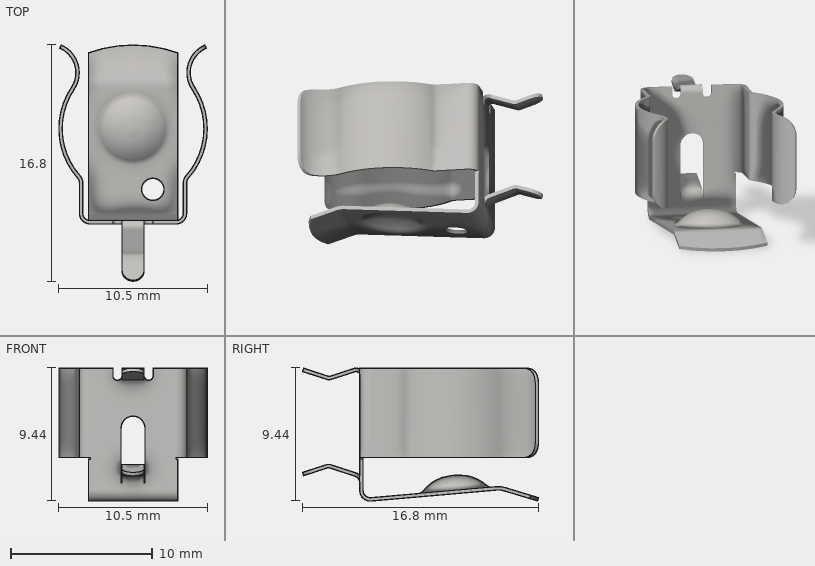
import cadquery as cq
import math


thickness = 0.254
bend_inside = 0.508
bend_outside = bend_inside + thickness
bend_middle = bend_inside + thickness / 2

front_y = 12.7
tail_y = -4.06
bottom_z = -9.44

arm_height = 6.35
arm_wall_x = 3.81
grip_radius = 5.27
grip_y = 6.76
lip_radius = 1.885
arm_corner_radius = 1.27

base_width = 6.35
relief_height = 0.1
slot_radius = 0.838
slot_top_z = -3.42
slot_bottom_z = -8.15
notch_width = 0.635
notch_depth = 0.86

tab_width = 1.575
tab_slope = 18
kink_inside = 0.254
upper_tab_kink_y = -2.165
lower_tab_kink_y = -2.21
upper_tab_bend_inside = 0.254
upper_tab_bend_z = -upper_tab_bend_inside - thickness

base_slope = 5
toe_slope = 16.8
crest_radius = 1.45
crest_start_y = 9.71
toe_round_radius = 8.89

dome_y = 6.77
dome_rim_radius = 2.62
dome_flare_radius = 0.508
dome_flat_radius = 0.15
dome_height = 1.065
hole_diameter = 1.575
hole_x = 1.4
hole_y = 2.45


def sind(angle):
    return math.sin(math.radians(angle))


def cosd(angle):
    return math.cos(math.radians(angle))


def tand(angle):
    return math.tan(math.radians(angle))


class SheetPath:
    """Mid-line of a bent sheet, traced in a plane by straights and bends."""

    def __init__(self, u, v, heading):
        self.u, self.v, self.heading = u, v, heading
        self.left, self.right, self.steps = [], [], []
        self.mark_sides()

    def side_point(self, side):
        offset = side * thickness / 2
        return (self.u - offset * sind(self.heading), self.v + offset * cosd(self.heading))

    def move(self, radius, angle):
        """Follow an arc without recording it; a positive angle turns left."""
        side = math.copysign(radius, angle)
        center_u = self.u - side * sind(self.heading)
        center_v = self.v + side * cosd(self.heading)
        self.heading += angle
        self.u = center_u + side * sind(self.heading)
        self.v = center_v - side * cosd(self.heading)

    def mark_sides(self):
        """Record the points on both faces of the sheet at the current place."""
        self.left.append(self.side_point(1))
        self.right.append(self.side_point(-1))

    def straight(self, length):
        self.u += length * cosd(self.heading)
        self.v += length * sind(self.heading)
        self.mark_sides()
        self.steps.append("line")

    def bend(self, radius, angle):
        self.move(radius, angle / 2)
        self.mark_sides()
        self.move(radius, angle / 2)
        self.mark_sides()
        self.steps.append("arc")

    def trace(self, sketch, points, steps):
        points = iter(points)
        for step in steps:
            if step == "line":
                sketch = sketch.lineTo(*next(points))
            else:
                sketch = sketch.threePointArc(next(points), next(points))
        return sketch

    def outline(self, plane):
        sketch = cq.Workplane(plane).moveTo(*self.left[0])
        sketch = self.trace(sketch, self.left[1:], self.steps)
        sketch = sketch.lineTo(*self.right[-1])
        sketch = self.trace(sketch, self.right[-2::-1], self.steps[::-1])
        return sketch.close()

    def end_plane(self):
        """Plane lying in the sheet at its end (YZ paths): X across, Y along the sheet."""
        normal = (0, -sind(self.heading), cosd(self.heading))
        return cq.Plane(origin=(0, self.u, self.v), xDir=(1, 0, 0), normal=normal)


def strip(path, width, end_radius):
    """Sheet of the given width along a YZ path, its far end rounded in the sheet plane."""
    body = path.outline("YZ").extrude(width / 2, both=True)
    half = width / 2
    side_drop = end_radius - math.sqrt(max(end_radius**2 - half**2, 0))
    corners = (
        cq.Workplane(path.end_plane())
        .moveTo(-half, -side_drop)
        .threePointArc((0, 0), (half, -side_drop))
        .lineTo(half, thickness)
        .lineTo(-half, thickness)
        .close()
        .extrude(thickness, both=True)
    )
    return body.cut(corners)


def round_tip(arm, path):
    """Round the upper and lower corners of the arm tip, looking square on the tip."""
    along = cq.Vector(cosd(path.heading), sind(path.heading), 0)
    tip = cq.Plane(origin=(path.u, path.v, 0), xDir=along.toTuple(), normal=(along.y, -along.x, 0))
    radius = arm_corner_radius
    diagonal = radius * (1 - sind(45))
    for edge_y, inward in ((0, -1), (-arm_height, 1)):
        corner = (
            cq.Workplane(tip)
            .moveTo(-radius, edge_y)
            .threePointArc((-diagonal, edge_y + inward * diagonal), (0, edge_y + inward * radius))
            .lineTo(0, edge_y)
            .close()
            .extrude(radius, both=True)
        )
        arm = arm.cut(corner)
    return arm


def make_arm():
    """Half of the upper wall and the arm on the -X side."""
    foot_x = arm_wall_x + bend_inside
    foot_y = grip_y - math.sqrt((grip_radius + bend_inside) ** 2 - foot_x**2)
    foot_angle = math.degrees(math.acos(foot_x / (grip_radius + bend_inside)))
    lip_x = arm_wall_x + lip_radius + thickness
    lip_y = grip_y + math.sqrt((grip_radius + lip_radius) ** 2 - lip_x**2)
    lip_angle = math.degrees(math.acos(lip_x / (grip_radius + lip_radius)))
    tip_angle = math.degrees(math.asin((front_y - lip_y) / (lip_radius + thickness)))

    path = SheetPath(0, thickness / 2, 180)
    path.straight(arm_wall_x - bend_outside)
    path.bend(bend_middle, -90)
    path.straight(foot_y - bend_outside)
    path.bend(bend_middle, foot_angle)
    path.bend(grip_radius - thickness / 2, -foot_angle - lip_angle)
    path.bend(lip_radius + thickness / 2, lip_angle + tip_angle)
    arm = path.outline("XY").extrude(-arm_height)
    return round_tip(arm, path)


def make_base():
    """Lower wall, bottom bend, sloping base plate and its down-turned toe."""
    wall_top_z = -arm_height - relief_height
    bend_z = bottom_z + bend_outside
    path = SheetPath(thickness / 2, wall_top_z, -90)
    path.straight(wall_top_z - bend_z)
    path.bend(bend_middle, 90 + base_slope)
    path.straight((crest_start_y + thickness / 2 * sind(base_slope) - path.u) / cosd(base_slope))
    path.bend(crest_radius, -base_slope - toe_slope)
    toe_end_u = front_y - thickness / 2 * sind(toe_slope)
    path.straight((toe_end_u - path.u) / cosd(toe_slope))
    return strip(path, base_width, toe_round_radius)


def plate_plane(x, y):
    """Plane on the upper face of the sloping base plate at the given place."""
    plate_start_y = bend_outside + bend_inside * sind(base_slope)
    plate_start_z = bottom_z + bend_outside - bend_inside * cosd(base_slope)
    z = plate_start_z + (y - plate_start_y) * tand(base_slope)
    normal = (0, -sind(base_slope), cosd(base_slope))
    return cq.Plane(origin=(x, y, z), xDir=(1, 0, 0), normal=normal)


def add_dome(body):
    """Hollow dome pressed up from the base plate, with a flared rim."""
    arc_span = dome_rim_radius - dome_flat_radius
    angle = 2 * math.degrees(math.atan(dome_height / arc_span))
    crown_radius = arc_span / sind(angle) - dome_flare_radius
    crown_z = dome_height - crown_radius

    def crown_point(radius, at):
        return (dome_flat_radius + radius * sind(at), crown_z + radius * cosd(at))

    def flare_point(radius, at):
        return (dome_rim_radius - radius * sind(at), dome_flare_radius - radius * cosd(at))

    under_crown = crown_radius - thickness
    under_flare = dome_flare_radius + thickness
    plane = plate_plane(0, dome_y)
    section_plane = cq.Plane(
        origin=plane.origin.toTuple(), xDir=(1, 0, 0), normal=(-plane.yDir).toTuple()
    )
    shell = (
        cq.Workplane(section_plane)
        .moveTo(0, dome_height)
        .lineTo(dome_flat_radius, dome_height)
        .threePointArc(crown_point(crown_radius, angle / 2), crown_point(crown_radius, angle))
        .threePointArc(flare_point(dome_flare_radius, angle / 2), (dome_rim_radius, 0))
        .lineTo(dome_rim_radius, -thickness)
        .threePointArc(flare_point(under_flare, angle / 2), flare_point(under_flare, angle))
        .threePointArc(crown_point(under_crown, angle / 2), crown_point(under_crown, 0))
        .lineTo(0, dome_height - thickness)
        .close()
        .revolve(360, (0, 0, 0), (0, 1, 0))
    )
    opening = cq.Workplane(plane).circle(dome_rim_radius).extrude(-thickness)
    return body.cut(opening).union(shell)


def cut_hole(body):
    drill = cq.Workplane(plate_plane(hole_x, hole_y)).circle(hole_diameter / 2)
    return body.cut(drill.extrude(thickness, both=True))


def make_relief_bridge():
    """Wall stretch between the arms and the lower wall, narrowed by the relief slits."""
    width = 2 * (arm_wall_x - bend_outside)
    bridge = cq.Workplane("XY").box(width, thickness, relief_height, centered=(True, False, False))
    return bridge.translate((0, 0, -arm_height - relief_height))


def cut_slot(body):
    """Round-topped window in the wall from which the lower tab is bent out."""
    slot = (
        cq.Workplane("XZ")
        .moveTo(-slot_radius, slot_bottom_z)
        .lineTo(-slot_radius, slot_top_z - slot_radius)
        .threePointArc((0, slot_top_z), (slot_radius, slot_top_z - slot_radius))
        .lineTo(slot_radius, slot_bottom_z)
        .close()
        .extrude(-thickness)
    )
    return body.cut(slot)


def cut_tab_notches(body):
    """Clear the wall behind the upper tab and cut a round-bottomed notch on each side."""
    round_z = -notch_depth + notch_width / 2
    for side in (-1, 1):
        x = side * (tab_width + notch_width) / 2
        slot = cq.Workplane("XZ").center(x, round_z).circle(notch_width / 2).extrude(-thickness)
        above = cq.Workplane("XZ").center(x, round_z / 2).rect(notch_width, -round_z).extrude(-thickness)
        body = body.cut(slot).cut(above)
    behind_tab = cq.Workplane("XZ").center(0, upper_tab_bend_z / 2).rect(tab_width, -upper_tab_bend_z)
    return body.cut(behind_tab.extrude(-thickness))


def make_tab(start_z, inside_radius, turn, kink_y, kink):
    """Tab bent outward from the wall, kinked half-way and round-ended."""
    kink_middle = kink_inside + thickness / 2
    kink_half_span = kink_middle * sind(tab_slope)
    path = SheetPath(thickness / 2, start_z, 90)
    path.bend(inside_radius + thickness / 2, turn)
    path.straight((path.u - kink_y - kink_half_span) / cosd(tab_slope))
    path.bend(kink_middle, kink)
    end_u = tail_y + thickness / 2 * sind(tab_slope)
    path.straight((path.u - end_u) / cosd(tab_slope))
    return strip(path, tab_width, tab_width / 2)


arm = make_arm()
upper_tab = make_tab(
    upper_tab_bend_z, upper_tab_bend_inside, 90 + tab_slope, upper_tab_kink_y, -2 * tab_slope
)
lower_tab = make_tab(slot_bottom_z, bend_inside, 90 - tab_slope, lower_tab_kink_y, 2 * tab_slope)

result = arm.union(arm.mirror("YZ"))
result = result.union(make_relief_bridge())
result = result.union(make_base())
result = cut_slot(result)
result = cut_tab_notches(result)
result = cut_hole(result)
result = add_dome(result)

result = result.union(upper_tab).union(lower_tab)